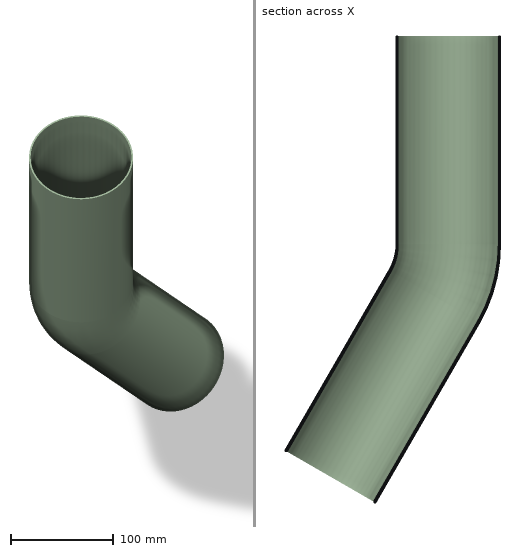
import cadquery as cq
import math

overall_height = 455.5
wall = 1.6
bend_angle = 30.0
leg_diameters = 2.0
bend_diameters = 1.0

bend_sin = math.sin(math.radians(bend_angle))
bend_cos = math.cos(math.radians(bend_angle))

height_in_diameters = leg_diameters * (1 + bend_cos) + (bend_diameters + 0.5) * bend_sin
outer_diameter = overall_height / height_in_diameters
outer_radius = outer_diameter / 2
inner_radius = outer_radius - wall
leg_length = leg_diameters * outer_diameter
bend_radius = bend_diameters * outer_diameter


def pipe_ring(workplane):
    """Draw the pipe's annular cross-section on a workplane."""
    return workplane.circle(outer_radius).circle(inner_radius)


upper_leg = pipe_ring(cq.Workplane("XY")).extrude(leg_length)

bend = pipe_ring(cq.Workplane("XY")).revolve(bend_angle, (0, bend_radius, 0), (1, bend_radius, 0))

bend_end = (0, bend_radius * (1 - bend_cos), -bend_radius * bend_sin)
lower_direction = (0, bend_sin, -bend_cos)
lower_plane = cq.Plane(origin=bend_end, xDir=(1, 0, 0), normal=lower_direction)
lower_leg = pipe_ring(cq.Workplane(lower_plane)).extrude(leg_length)

result = upper_leg.union(bend).union(lower_leg)